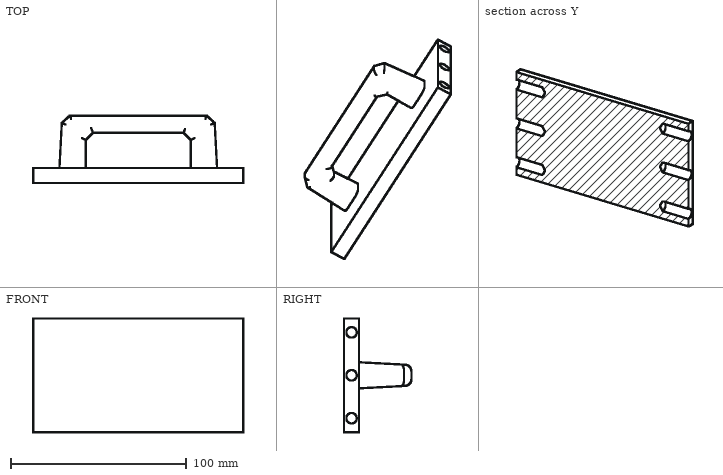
import cadquery as cq
import math

plate_length = 120.0
plate_thickness = 8.6
plate_height = 65.0

hole_diameter = 6.0
hole_depth = 18.0
hole_edge_distance = 8.0
drill_tip_angle = 118.0
hole_spacing = plate_height / 2 - hole_edge_distance

handle_length = 90.0
handle_width = 15.0
handle_reach = 29.9
handle_draft = 3.0
handle_corner_x = 4.5
handle_corner_y = 4.3
grip_length = 59.8
grip_clearance = 19.9
grip_corner = 4.1
handle_fillet = 4.0


def mirrored_outline(half_points):
    """Close an outline given by its +X half, listed from base to tip."""
    return half_points + [(-x, y) for x, y in reversed(half_points)]


def make_plate():
    return cq.Workplane("XY").box(
        plate_length, plate_thickness, plate_height, centered=(True, False, True)
    )


def make_drill(end):
    """Drill body for the end at +X (end = 1) or -X (end = -1), on the axis Z = 0."""
    radius = hole_diameter / 2
    tip_length = radius / math.tan(math.radians(drill_tip_angle / 2))
    mouth_x = end * plate_length / 2
    shoulder_x = mouth_x - end * hole_depth
    tip_x = shoulder_x - end * tip_length
    return (
        cq.Workplane("XZ")
        .polyline([(mouth_x, 0), (mouth_x, -radius), (shoulder_x, -radius), (tip_x, 0)])
        .close()
        .revolve(360, (mouth_x, 0), (tip_x, 0))
        .translate((0, plate_thickness / 2, 0))
    )


def make_handle():
    """Bow with drafted outer sides, straight grip opening and rounded long edges."""
    slope = math.tan(math.radians(handle_draft))
    half_length = handle_length / 2
    half_width = handle_width / 2
    corner_y = handle_reach - handle_corner_y
    corner_x = half_length - slope * corner_y
    tip_half_width = half_width - slope * handle_reach

    outer = mirrored_outline([
        (half_length, 0),
        (corner_x, corner_y),
        (corner_x - handle_corner_x, handle_reach),
    ])
    opening = mirrored_outline([
        (grip_length / 2, 0),
        (grip_length / 2, grip_clearance - grip_corner),
        (grip_length / 2 - grip_corner, grip_clearance),
    ])
    bow = (
        cq.Workplane("XY")
        .polyline(outer).close()
        .extrude(half_width, both=True)
        .cut(cq.Workplane("XY").polyline(opening).close().extrude(half_width, both=True))
    )
    side_profile = [
        (0, -half_width),
        (0, half_width),
        (handle_reach, tip_half_width),
        (handle_reach, -tip_half_width),
    ]
    drafted_block = (
        cq.Workplane("YZ").polyline(side_profile).close().extrude(half_length, both=True)
    )
    bow = bow.intersect(drafted_block)
    bow = bow.edges("not(|Z or <Y)").fillet(handle_fillet)
    return bow.translate((0, plate_thickness, 0))


result = make_plate().union(make_handle())
for end in (-1, 1):
    for row in (-1, 0, 1):
        result = result.cut(make_drill(end).translate((0, 0, row * hole_spacing)))